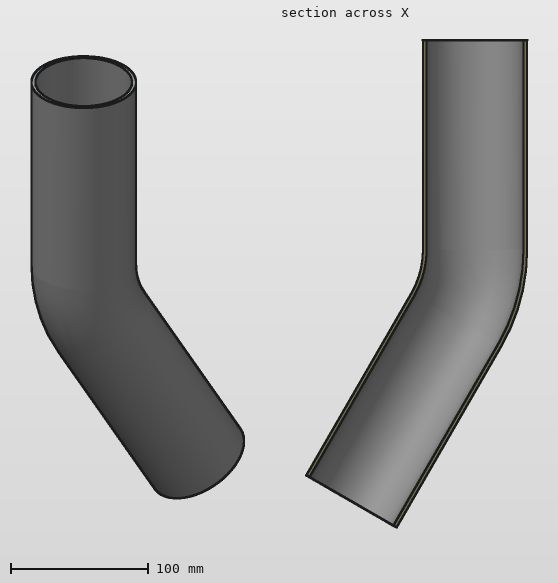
import cadquery as cq
import math

total_height = 354.2
outer_diameter = 76.0
inner_diameter = 70.0
bend_radius = 101.5
bend_angle = 30.0

outer_radius = outer_diameter / 2
angle = math.radians(bend_angle)

bend_height = (bend_radius + outer_radius) * math.sin(angle)
leg_length = (total_height - bend_height) / (1 + math.cos(angle))


def bend_point(turn):
    """Centreline point (y, z) after turning from the vertical leg towards +Y."""
    return (
        bend_radius * (1 - math.cos(turn)),
        -bend_radius * math.sin(turn),
    )


bend_end = bend_point(angle)
lower_end = (
    bend_end[0] + leg_length * math.sin(angle),
    bend_end[1] - leg_length * math.cos(angle),
)
centreline = (
    cq.Workplane("YZ")
    .moveTo(0, leg_length)
    .lineTo(0, 0)
    .threePointArc(bend_point(angle / 2), bend_end)
    .lineTo(*lower_end)
)

result = (
    cq.Workplane("XY", origin=(0, 0, leg_length))
    .circle(outer_radius)
    .circle(inner_diameter / 2)
    .sweep(centreline)
)